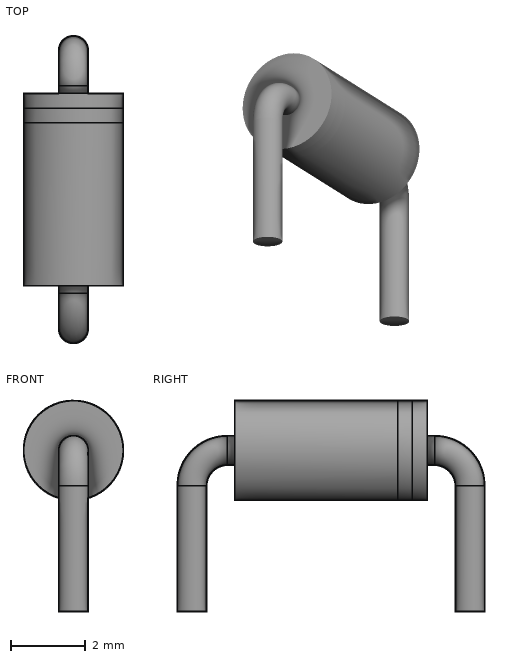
import cadquery as cq

total_length = 8.3
total_height = 5.7
case_diameter = 2.7
case_length = 5.195
band_width = 0.4
wire_diameter = 0.8
stub_length = 0.2

case_end = case_length / 2
main_length = case_length - 2 * band_width
wire_radius = wire_diameter / 2
stub_end = case_end + stub_length
leg_offset = total_length / 2 - wire_radius
bend_radius = leg_offset - stub_end
leg_bottom = case_diameter / 2 - total_height
leg_length = -bend_radius - leg_bottom


def cylinder_along_y(diameter, start_y, length):
    """Solid cylinder on the case axis, running toward +Y from start_y."""
    plane = cq.Plane(origin=(0, start_y, 0), xDir=(1, 0, 0), normal=(0, 1, 0))
    return cq.Workplane(plane).circle(diameter / 2).extrude(length)


def make_main_case():
    return cylinder_along_y(case_diameter, -case_end, main_length)


def make_marking_band():
    return cylinder_along_y(case_diameter, case_end - 2 * band_width, band_width)


def make_end_case():
    return cylinder_along_y(case_diameter, case_end - band_width, band_width)


def make_stub(side):
    """Straight wire leaving the case end; side is +1 or -1 along Y."""
    return cylinder_along_y(wire_diameter, side * case_end, side * stub_length)


def make_bend(side):
    """Quarter-turn of wire from the stub down to the top of the leg."""
    axis_start = (0, -bend_radius)
    axis_end = (-side, -bend_radius)
    return (
        cq.Workplane("XZ", origin=(0, side * stub_end, 0))
        .circle(wire_radius)
        .revolve(90, axis_start, axis_end)
    )


def make_leg(side):
    """Vertical wire below the bend."""
    return (
        cq.Workplane("XY", origin=(0, side * leg_offset, leg_bottom))
        .circle(wire_radius)
        .extrude(leg_length)
    )


main_case = make_main_case()
marking_band = make_marking_band()
end_case = make_end_case()

lead_parts = []
for lead_side in (-1, 1):
    for make_part in (make_stub, make_bend, make_leg):
        lead_parts.append(make_part(lead_side).val())

result = cq.Compound.makeCompound(
    [main_case.val(), marking_band.val(), end_case.val(), *lead_parts]
)